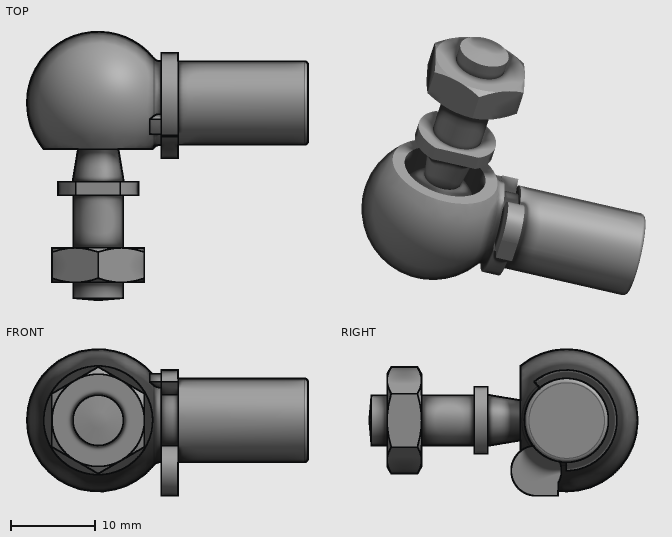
import cadquery as cq
import math


head_radius = 8.5
mouth_y = -5.5
shank_radius = 5.0
shank_end_x = 25.0
shank_end_fillet = 0.5
neck_fillet = 1.0

clip_start_x = 7.5
clip_end_x = 9.5
groove_radius = 4.0
clip_radius = 6.0
clip_end_angle = 130.0
tab_angle = -90.0
tab_radius = 3.0
tab_center_y = -3.6
tab_center_z = -6.0
tab_edge_y = -1.0
lug_start_x = 6.05
lug_radius = 5.9
lug_width = 2.0
lug_setback = 0.1

ball_radius = 5.0
neck_radius = 2.25
taper_base_radius = 3.06
neck_y = -math.sqrt(ball_radius ** 2 - neck_radius ** 2)
pin_radius = 3.0
flange_y = -9.35
flange_thickness = 1.65
flange_radius = 4.8
flange_flats = 8.0
pin_end_y = -23.49
pin_tip_angle = 5.0

nut_y = -17.25
nut_thickness = 4.1
nut_flats = 11.0
nut_chamfer_angle = 30.0


def point_at(radius, angle):
    """Point on a circle about the origin, angle in degrees."""
    turn = math.radians(angle)
    return (radius * math.cos(turn), radius * math.sin(turn))


def y_cylinder(radius, start_y, length):
    """Cylinder along -Y from start_y."""
    return cq.Workplane("XZ", origin=(0, start_y, 0)).circle(radius).extrude(length)


def make_socket():
    """Ball head blended into the grooved shank, cut flat at the mouth."""
    fillet_center_r = shank_radius + neck_fillet
    fillet_center_x = math.sqrt((head_radius + neck_fillet) ** 2 - fillet_center_r ** 2)
    blend_angle = math.degrees(math.atan2(fillet_center_r, fillet_center_x))
    to_ball_angle = blend_angle + 180
    to_axis_angle = 270
    middle_dx, middle_dr = point_at(neck_fillet, (to_ball_angle + to_axis_angle) / 2)
    end_offset = shank_end_fillet * math.sqrt(0.5)

    body = (
        cq.Workplane("XY")
        .moveTo(-head_radius, 0)
        .threePointArc((0, head_radius), point_at(head_radius, blend_angle))
        .threePointArc(
            (fillet_center_x + middle_dx, fillet_center_r + middle_dr),
            (fillet_center_x, shank_radius),
        )
        .lineTo(clip_start_x, shank_radius)
        .lineTo(clip_start_x, groove_radius)
        .lineTo(clip_end_x, groove_radius)
        .lineTo(clip_end_x, shank_radius)
        .lineTo(shank_end_x - shank_end_fillet, shank_radius)
        .threePointArc(
            (shank_end_x - shank_end_fillet + end_offset, shank_radius - shank_end_fillet + end_offset),
            (shank_end_x, shank_radius - shank_end_fillet),
        )
        .lineTo(shank_end_x, 0)
        .close()
        .revolve(360, (0, 0, 0), (1, 0, 0))
    )
    return body.cut(y_cylinder(head_radius, mouth_y, head_radius))


def make_socket_gap():
    """Ring space between the ball of the stud and the cylindrical bore around it."""
    arc_middle_angle = math.degrees(math.atan2(neck_y, neck_radius)) / 2
    return (
        cq.Workplane("XY")
        .moveTo(ball_radius, 0)
        .threePointArc(point_at(ball_radius, arc_middle_angle), (neck_radius, neck_y))
        .lineTo(neck_radius, mouth_y)
        .lineTo(ball_radius, mouth_y)
        .close()
        .revolve(360, (0, 0, 0), (0, 1, 0))
    )


def make_clip():
    """Open clip ring with a locking lug on one end and a round tab on the other."""
    width = clip_end_x - clip_start_x
    clip_plane = cq.Workplane("YZ", origin=(clip_start_x, 0, 0))
    middle_angle = (tab_angle + clip_end_angle) / 2
    ring = (
        clip_plane.moveTo(*point_at(groove_radius, tab_angle))
        .lineTo(*point_at(clip_radius, tab_angle))
        .threePointArc(point_at(clip_radius, middle_angle), point_at(clip_radius, clip_end_angle))
        .lineTo(*point_at(groove_radius, clip_end_angle))
        .threePointArc(point_at(groove_radius, middle_angle), point_at(groove_radius, tab_angle))
        .close()
        .extrude(width)
    )
    lug_length = clip_start_x - lug_start_x
    lug_plane = cq.Workplane("YZ", origin=(lug_start_x, 0, 0))
    lug_bar = (
        lug_plane.transformed(rotate=(0, 0, clip_end_angle))
        .center(lug_radius / 2, -lug_setback - lug_width / 2)
        .rect(lug_radius, lug_width)
        .extrude(lug_length)
    )
    lug = lug_bar.intersect(lug_plane.circle(lug_radius).circle(groove_radius).extrude(lug_length))
    tab_end = clip_plane.center(tab_center_y, tab_center_z).circle(tab_radius).extrude(width)
    tab_plate = (
        clip_plane.center(tab_center_y, tab_center_z - tab_radius)
        .rect(tab_edge_y - tab_center_y, 2 * tab_radius, centered=False)
        .extrude(width)
    )
    return ring.union(lug).union(tab_end).union(tab_plate)


def make_stud():
    """Tapered neck, flange with two flats and pin with a shallow conical tip."""
    tip_height = pin_radius * math.tan(math.radians(pin_tip_angle))
    pin = (
        cq.Workplane("XY")
        .moveTo(0, 0)
        .lineTo(neck_radius, 0)
        .lineTo(neck_radius, neck_y)
        .lineTo(taper_base_radius, flange_y)
        .lineTo(pin_radius, flange_y - flange_thickness)
        .lineTo(pin_radius, pin_end_y + tip_height)
        .lineTo(0, pin_end_y)
        .close()
        .revolve(360, (0, 0, 0), (0, 1, 0))
    )
    flats = (
        cq.Workplane("XZ", origin=(0, flange_y, 0))
        .rect(2 * flange_radius, flange_flats)
        .extrude(flange_thickness)
    )
    flange = y_cylinder(flange_radius, flange_y, flange_thickness).intersect(flats)
    return pin.union(flange)


def make_nut():
    """Hexagon nut with corners up and down, chamfered on both faces."""
    face_radius = nut_flats / 2
    corner_radius = face_radius / math.cos(math.pi / 6)
    chamfer_depth = (corner_radius - face_radius) * math.tan(math.radians(nut_chamfer_angle))
    nut_end_y = nut_y - nut_thickness
    hexagon = (
        cq.Workplane("XZ", origin=(0, nut_y, 0))
        .transformed(rotate=(0, 0, 90))
        .polygon(6, 2 * corner_radius)
        .extrude(nut_thickness)
    )
    chamfer_envelope = (
        cq.Workplane("XY")
        .moveTo(0, nut_y)
        .lineTo(face_radius, nut_y)
        .lineTo(corner_radius, nut_y - chamfer_depth)
        .lineTo(corner_radius, nut_end_y + chamfer_depth)
        .lineTo(face_radius, nut_end_y)
        .lineTo(0, nut_end_y)
        .close()
        .revolve(360, (0, 0, 0), (0, 1, 0))
    )
    return hexagon.intersect(chamfer_envelope)


socket = make_socket().union(make_clip()).cut(make_socket_gap())
result = socket.union(make_stud()).union(make_nut())